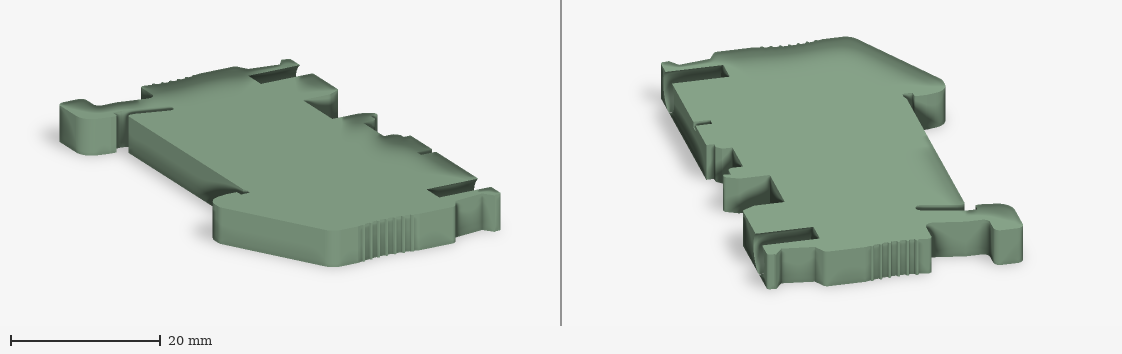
import cadquery as cq
import math

LENGTH = 59.4
HEIGHT = 35.2
THICKNESS = 5.2

HOOK_TOP_INSET = 1.05
HOOK_TIP = (0.9, 34.1)
HOOK_THROAT = (2.4, 32.95)
NECK_FOOT = (1.7, 28.5)
SHOULDER_Y = 27.5
HOOK_TIP_FLAT = 0.1
HOOK_TOP_ROUND = 0.4
SHOULDER_ROUND = 0.8

WIDE_GAP_LEFT, WIDE_GAP_RIGHT = 15.25, 23.3
WIDE_GAP_FLOOR = 29.15
LEAD_IN_Y = 33.4
LEAD_IN_SIDE = 0.95
LEAD_IN_TOP_ROUND = 0.5
LEAD_IN_ROUND = 0.9
BARB_RIGHT = 24.95
BARB_LIP = 0.2
BARB_NECK_X = BARB_RIGHT - BARB_LIP
BARB_EDGE_Y = 34.75
BARB_ROUND = 0.25
NARROW_GAP_LEFT, NARROW_GAP_RIGHT = 26.55, 32.2
NARROW_GAP_FLOOR = 32.0
STEP_Y = 34.15
STEP_RIGHT = 33.75
STEP_CHAMFER = 0.7
STEP_ROUND = 0.7

UNDERSIDE_Y = 6.0
LEDGE_Y = 12.7
LEDGE_LEFT = 0.25
LEDGE_ROUND = 0.55
CLAW_Y = 4.8
CLAW_TIP_ROUND = 0.25

FOOT_LEFT = 0.2
FOOT_TOP = 4.1
FOOT_RIGHT = 8.1
FOOT_BEND_Y = 3.8
FOOT_TAPER = 0.65
FOOT_TOE_ROUND = 2.4
FOOT_HEEL_ROUND = 1.0
ANKLE_ROUND = 0.9
LEG_LEFT_TOP, LEG_LEFT_LOW = 4.8, 3.75
LEG_ROOT_ROUND = 1.05
LEG_BEND_Y = 7.2
LEG_RIGHT_LOW = 6.85
LEG_RIGHT_BEND_Y = 6.25
SLIT_TOP_LEFT, SLIT_TOP_RIGHT = 8.55, 10.1
SLIT_LOW_RIGHT = 8.6
SLIT_LOW_BEND_Y = 7.1
SLIT_ROUND = 0.7
SLIT_MOUTH_ROUND = 0.5

CLAW_POCKET_LEFT, CLAW_POCKET_RIGHT = 40.6, 41.45
CLAW_POCKET_TOP = 6.25
CLAW_POCKET_RUN_OUT = 0.65
CLAW_LEFT = 40.4
CLAW_BEND_Y = 3.1
RAMP_ANGLE = 29.7
RAMP_END_Y = 8.75
CLAW_TAPER = 0.65
CLAW_ROUND = 2.25
RAMP_START_ROUND = 1.4
RAMP_END_ROUND = 2.1

GRIP_Y = 17.3
GRIP_DEPTH = 0.7
GRIP_HALF_CHORD = 4.7
GRIP_RADIUS = (GRIP_HALF_CHORD**2 + GRIP_DEPTH**2) / (2 * GRIP_DEPTH)
RIB_PITCH = 1.25
RIB_HEIGHT = 0.35
RIB_BASE = 0.55
RIB_TIP = 0.25
RIB_ROOT = 0.2
TOP_RIB = 3
LOWEST_RIB_LEFT, LOWEST_RIB_RIGHT = -2, -3

WIRE_HOLE_CENTRES = (5.65, 53.75)
WIRE_HOLE_MOUTH = 3.45
WIRE_HOLE_SLIT = 0.09
WIRE_HOLE_LENGTH = 7.95

NOTCH_LEFT = 39.5
NOTCH_WIDTH = 1.1
NOTCH_LENGTH = 2.3
NOTCH_DEPTH = 0.85


def rounded_outline(corners):
    """Closed wire through (x, y, radius) corners, each rounded by a tangent arc."""
    spans = []
    for i, (x, y, radius) in enumerate(corners):
        before = cq.Vector(*corners[i - 1][:2])
        after = cq.Vector(*corners[(i + 1) % len(corners)][:2])
        corner = cq.Vector(x, y)
        to_before = (before - corner).normalized()
        to_after = (after - corner).normalized()
        half_angle = to_before.getAngle(to_after) / 2
        setback = radius / math.tan(half_angle)
        bisector = (to_before + to_after).normalized()
        middle = corner + bisector * (radius / math.sin(half_angle) - radius)
        spans.append((corner + to_before * setback, middle, corner + to_after * setback, radius))

    wire = cq.Workplane("XY").moveTo(*spans[0][2].toTuple()[:2])
    for start, middle, end, radius in spans[1:] + spans[:1]:
        wire = wire.lineTo(*start.toTuple()[:2])
        if radius > 0:
            wire = wire.threePointArc(middle.toTuple()[:2], end.toTuple()[:2])
    return wire.close()


def hook_corners():
    """Left end from the shoulder up to the top edge."""
    return [
        (0, SHOULDER_Y, SHOULDER_ROUND),
        (*NECK_FOOT, 0),
        (*HOOK_THROAT, 0),
        (*HOOK_TIP, 0),
        (HOOK_TOP_INSET, HOOK_TIP[1] + HOOK_TIP_FLAT, 0),
        (HOOK_TOP_INSET, HEIGHT, HOOK_TOP_ROUND),
    ]


def mirrored(corners):
    """Corners reflected about the middle of the length, keeping the direction of travel."""
    return [(LENGTH - x, y, radius) for x, y, radius in reversed(corners)]


def top_corners():
    """Top edge from left to right with its two gaps."""
    return [
        (WIDE_GAP_LEFT - LEAD_IN_SIDE, HEIGHT, LEAD_IN_TOP_ROUND),
        (WIDE_GAP_LEFT, LEAD_IN_Y, LEAD_IN_ROUND),
        (WIDE_GAP_LEFT, WIDE_GAP_FLOOR, 0),
        (WIDE_GAP_RIGHT, WIDE_GAP_FLOOR, 0),
        (WIDE_GAP_RIGHT, LEAD_IN_Y, LEAD_IN_ROUND),
        (WIDE_GAP_RIGHT + LEAD_IN_SIDE, HEIGHT, LEAD_IN_TOP_ROUND),
        (BARB_RIGHT, HEIGHT, BARB_ROUND),
        (BARB_RIGHT, BARB_EDGE_Y, 0),
        (BARB_NECK_X, BARB_EDGE_Y - BARB_LIP, 0),
        (BARB_NECK_X, STEP_Y, 0),
        (NARROW_GAP_LEFT, STEP_Y, STEP_ROUND),
        (NARROW_GAP_LEFT, NARROW_GAP_FLOOR, 0),
        (NARROW_GAP_RIGHT, NARROW_GAP_FLOOR, 0),
        (NARROW_GAP_RIGHT, STEP_Y - STEP_CHAMFER, 0),
        (NARROW_GAP_RIGHT + STEP_CHAMFER, STEP_Y, 0),
        (STEP_RIGHT, STEP_Y, 0),
        (STEP_RIGHT, HEIGHT, 0),
    ]


def right_foot_corners():
    """From the sloping ramp at the right to the pocket beside the underside."""
    ramp_run = RAMP_END_Y / math.tan(math.radians(RAMP_ANGLE))
    return [
        (LENGTH, RAMP_END_Y, RAMP_END_ROUND),
        (LENGTH - ramp_run, 0, RAMP_START_ROUND),
        (CLAW_LEFT + CLAW_TAPER, 0, CLAW_ROUND),
        (CLAW_LEFT, CLAW_BEND_Y, 0),
        (CLAW_LEFT, CLAW_Y, CLAW_TIP_ROUND),
        (CLAW_POCKET_RIGHT, CLAW_Y, 0),
        (CLAW_POCKET_RIGHT, CLAW_POCKET_TOP, 0),
        (CLAW_POCKET_LEFT, CLAW_POCKET_TOP, 0),
        (CLAW_POCKET_LEFT - CLAW_POCKET_RUN_OUT, UNDERSIDE_Y, 0),
    ]


def left_foot_corners():
    """From the underside around the slit and the flexible foot to the ledge.

    The small step at the grip's mid-height is swallowed by the grip hollow.
    """
    return [
        (SLIT_LOW_RIGHT, UNDERSIDE_Y, SLIT_MOUTH_ROUND),
        (SLIT_LOW_RIGHT, SLIT_LOW_BEND_Y, 0),
        (SLIT_TOP_RIGHT, LEDGE_Y, SLIT_ROUND),
        (SLIT_TOP_LEFT, LEDGE_Y, SLIT_ROUND),
        (LEG_RIGHT_LOW, LEG_RIGHT_BEND_Y, 0),
        (LEG_RIGHT_LOW, CLAW_Y, 0),
        (FOOT_RIGHT, CLAW_Y, CLAW_TIP_ROUND),
        (FOOT_RIGHT, FOOT_BEND_Y, 0),
        (FOOT_RIGHT - FOOT_TAPER, 0, FOOT_TOE_ROUND),
        (FOOT_LEFT, 0, FOOT_HEEL_ROUND),
        (FOOT_LEFT, FOOT_TOP, ANKLE_ROUND),
        (LEG_LEFT_LOW, FOOT_TOP, ANKLE_ROUND),
        (LEG_LEFT_LOW, LEG_BEND_Y, 0),
        (LEG_LEFT_TOP, LEDGE_Y, LEG_ROOT_ROUND),
        (LEDGE_LEFT, LEDGE_Y, LEDGE_ROUND),
        (LEDGE_LEFT, GRIP_Y, 0),
        (0, GRIP_Y, 0),
    ]


def grip_hollow():
    """Cylinder that hollows the left end face."""
    centre_x = GRIP_DEPTH - GRIP_RADIUS
    return cq.Workplane("XY").center(centre_x, GRIP_Y).circle(GRIP_RADIUS).extrude(THICKNESS)


def grip_ribs(first, last):
    """Ribs standing in the left hollow, numbered from its middle upward, none past the end face."""
    ribs = cq.Workplane("XY")
    for number in range(first, last + 1):
        offset = number * RIB_PITCH
        floor = GRIP_DEPTH - GRIP_RADIUS + math.sqrt(GRIP_RADIUS**2 - offset**2)
        tip = max(floor - RIB_HEIGHT, 0)
        y = GRIP_Y + offset
        rib = (
            cq.Workplane("XY")
            .moveTo(floor + RIB_ROOT, y - RIB_BASE / 2)
            .lineTo(floor, y - RIB_BASE / 2)
            .lineTo(tip, y - RIB_TIP / 2)
            .lineTo(tip, y + RIB_TIP / 2)
            .lineTo(floor, y + RIB_BASE / 2)
            .lineTo(floor + RIB_ROOT, y + RIB_BASE / 2)
            .close()
            .extrude(THICKNESS)
        )
        ribs = ribs.add(rib)
    return ribs.combine()


def at_right_end(shape):
    """A left-end shape reflected to the right end."""
    return shape.mirror("YZ").translate((LENGTH, 0, 0))


def wire_holes():
    """Holes along Y whose circle spans the mouth above and just breaks through below."""
    half_mouth = WIRE_HOLE_MOUTH / 2
    half_slit = WIRE_HOLE_SLIT / 2
    axis_z = (THICKNESS**2 + half_mouth**2 - half_slit**2) / (2 * THICKNESS)
    radius = math.hypot(axis_z, half_slit)
    return (
        cq.Workplane("XZ", origin=(0, HEIGHT, 0))
        .pushPoints([(x, axis_z) for x in WIRE_HOLE_CENTRES])
        .circle(radius)
        .extrude(WIRE_HOLE_LENGTH)
    )


def marker_notch():
    """Shallow notch in the upper face, open to the top edge."""
    corner = (NOTCH_LEFT, HEIGHT - NOTCH_LENGTH, THICKNESS - NOTCH_DEPTH)
    notch = cq.Workplane("XY").box(NOTCH_WIDTH, NOTCH_LENGTH, NOTCH_DEPTH, centered=False)
    return notch.translate(corner)


outline = (
    hook_corners()
    + top_corners()
    + mirrored(hook_corners())
    + right_foot_corners()
    + left_foot_corners()
)
body = rounded_outline(outline).extrude(THICKNESS)
body = body.cut(grip_hollow()).cut(at_right_end(grip_hollow()))
body = body.union(grip_ribs(LOWEST_RIB_LEFT, TOP_RIB))
body = body.union(at_right_end(grip_ribs(LOWEST_RIB_RIGHT, TOP_RIB)))
result = body.cut(wire_holes()).cut(marker_notch())